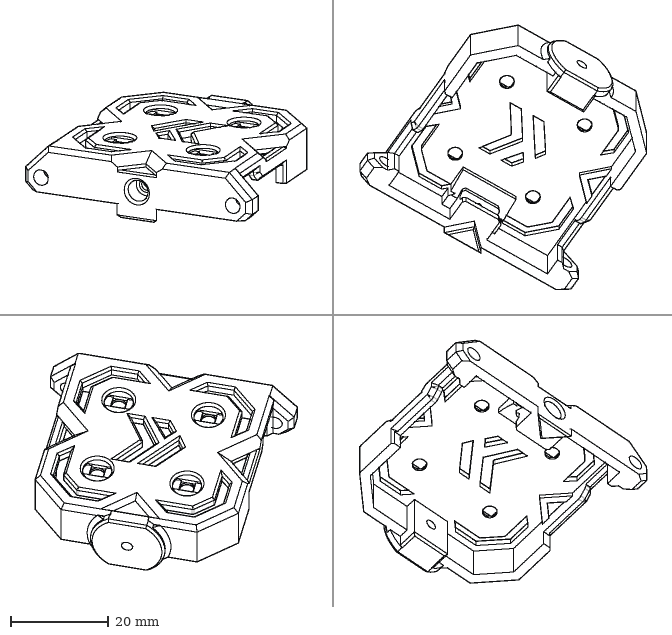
import cadquery as cq
import math

height = 10.0
plate_width = 42.95
plate_length = 44.0
rear_corner = 7.1
edge_chamfer = 1.05
wall = 2.15
step_chamfer = 0.5
plate_thickness = 2.0
underside = height - plate_thickness
half_width = plate_width / 2
half_length = plate_length / 2
past = 2.6

bar_width = 51.5
bar_depth = 5.0
ear_slope = 5.2
ear_lower_chamfer = 1.6
ear_hole_x = 21.8
ear_hole_diameter = 3.3

axis_z = 3.25
front_bore = 4.5
front_bore_mouth = 5.7
front_bore_depth = 4.55
screw_hole = 2.3
screw_hole_mouth = 3.0
boss_width = 9.0
boss_depth = 7.45
tab_drop = 3.0
tab_tip = 0.55
tab_tip_angle = 30
boss_chamfer = 0.5
gusset_width = 12.9
gusset_reach = 5.35
gusset_foot_z = 4.65
gusset_tip_z = 6.75
gusset_bow = 0.2
cross_groove = 3.0
flange_thickness = 1.85
flange_diameter = 15.75
flange_height = 13.5
flange_chamfer = 0.5
flare = 1.0
flare_top = 9.15
flat_width = 7.95
rear_block_width = 8.95
rear_block_depth = 4.55

window_chamfer = 0.5
notch_reach = 7.25
notch_slope = 2.0
notch_step = 0.7
notch_collar = 2.05
collar_depth = 1.0
side_notch_inset = 0.5
rear_notch_depth = 1.05
sill_chamfer = 0.35

screw_x = 9.5
screw_y = 9.95
seat_diameter = 7.0
seat_floor_diameter = 6.0
seat_depth = 0.6
bridge_step = 0.4
plate_hole = 3.0

CENTRED = (True, True, False)
BEVEL = 45


def prism(points, top, depth, taper=0):
    """Solid running down from a closed XY outline at height top."""
    return cq.Workplane("XY").workplane(offset=top).polyline(points).close().extrude(-depth, taper=taper)


def y_cylinder(diameter, y_start, length, x=0.0):
    """Cylinder along +Y at the height of the screw axis."""
    return (
        cq.Workplane("XZ", origin=(x, y_start, axis_z))
        .circle(diameter / 2)
        .extrude(-length)
    )


def y_cone(diameter_start, diameter_end, y_start, length):
    """Frustum along +Y on the screw axis."""
    cone = cq.Solid.makeCone(
        diameter_start / 2, diameter_end / 2, length, cq.Vector(0, y_start, axis_z), cq.Vector(0, 1, 0)
    )
    return cq.Workplane(obj=cone)


def block(width, y_min, y_max, z_min, z_max):
    """Box centred on X = 0."""
    return (
        cq.Workplane("XY", origin=(0, (y_min + y_max) / 2, z_min))
        .box(width, y_max - y_min, z_max - z_min, centered=CENTRED)
    )


def window(points):
    """Through window whose upper rim is chamfered inside the given outline."""
    rim = prism(points, height, window_chamfer, BEVEL)
    through = cq.Solid.extrudeLinear(rim.faces("<Z").val(), cq.Vector(0, 0, -height))
    return rim.union(cq.Workplane(obj=through))


def plate_block():
    """Plate with its two rear corners cut off and its upper edges chamfered."""
    body = block(plate_width, -half_length + bar_depth / 2, half_length, 0, height)
    body = body.edges("|Z and >Y").chamfer(rear_corner)
    return body.faces(">Z").edges("not <Y").chamfer(edge_chamfer)


def front_bar():
    """Bar across the front whose ends slope off to form the ears."""
    half = bar_width / 2
    bar = (
        cq.Workplane("XZ", origin=(0, -half_length, 0))
        .moveTo(-half + ear_lower_chamfer, 0)
        .lineTo(half - ear_lower_chamfer, 0)
        .lineTo(half, ear_lower_chamfer)
        .lineTo(half, height - ear_slope)
        .lineTo(half - ear_slope, height)
        .lineTo(-half + ear_slope, height)
        .lineTo(-half, height - ear_slope)
        .lineTo(-half, ear_lower_chamfer)
        .close()
        .extrude(-bar_depth)
    )
    return bar.faces("<Y or >Y").edges("not <Z").chamfer(edge_chamfer)


def cavity():
    """Hollow under the plate, following the side, front and rear walls."""
    hollow = block(plate_width - 2 * wall, -half_length + wall, half_length - wall, -past, underside)
    inner_corner = rear_corner - wall * (2 - math.sqrt(2))
    return hollow.edges("|Z and >Y").chamfer(inner_corner)


def side_opening(side):
    """Stepped opening in a side wall with a chamfer around its outer rim."""
    rear, middle, ramp_end = 4.9, -6.75, -8.05
    low, ramp_top, high = 5.05, 6.35, 7.7
    front = -half_length + bar_depth
    outline = [
        (rear, -past),
        (rear, low),
        (middle, low),
        (ramp_end, ramp_top),
        (ramp_end, high),
        (front, high),
        (front, -past),
    ]
    rim = (
        cq.Workplane("YZ", origin=(side * half_width, 0, 0))
        .polyline(outline)
        .close()
        .extrude(-side * edge_chamfer, taper=BEVEL)
    )
    inner_face = rim.faces("<X" if side > 0 else ">X").val()
    through = cq.Solid.extrudeLinear(inner_face, cq.Vector(-side * wall, 0, 0))
    step_edge = rear - step_chamfer
    step = block(2 * wall, step_edge - wall, step_edge, -past, low - edge_chamfer)
    step = step.translate((side * half_width, 0, 0))
    return rim.union(cq.Workplane(obj=through)).union(step)


def vee(apex, edge):
    """Right-angled triangle opening toward +Y, from its apex to the edge."""
    reach = edge - apex
    return [(0, apex), (reach, edge), (-reach, edge)]


def turned(solid, angle):
    """Solid turned about the Z axis."""
    return solid.rotate((0, 0, 0), (0, 0, 1), angle)


def sloped_notch(edge):
    """Sloped part of a V notch toward +Y, and the Y of its apex at the lower end."""
    apex = edge - notch_reach
    mouth = edge + 2 * past
    return prism(vee(apex, mouth), height, notch_slope, BEVEL), apex + notch_slope * math.sqrt(2)


def front_notch():
    """Sloped flanks over a short upright step, with a chamfered sill."""
    slopes, apex = sloped_notch(half_length)
    floor_z = height - notch_slope - notch_step
    reach = half_length - apex
    step = prism(vee(apex, half_length), height - notch_slope, notch_step)
    sill = (
        cq.Workplane("YZ", origin=(-reach, 0, 0))
        .moveTo(half_length, floor_z - sill_chamfer)
        .lineTo(half_length, floor_z)
        .lineTo(half_length - window_chamfer, floor_z)
        .close()
        .extrude(2 * reach)
    )
    return turned(slopes.union(step).union(sill), 180)


def side_notch():
    """Notch opening down into the cavity past a wall with a chamfered top."""
    slopes, apex = sloped_notch(half_width - side_notch_inset)
    wall_inside = half_width - wall
    reach = half_width - apex
    floor_z = height - notch_slope
    through = prism(vee(apex, wall_inside), height, height)
    above_wall = (
        cq.Workplane("YZ", origin=(-reach, 0, 0))
        .moveTo(half_width, floor_z - sill_chamfer)
        .lineTo(half_width - window_chamfer, floor_z)
        .lineTo(wall_inside + window_chamfer, floor_z)
        .lineTo(wall_inside, floor_z - sill_chamfer)
        .lineTo(wall_inside, height)
        .lineTo(half_width, height)
        .close()
        .extrude(2 * reach)
        .intersect(prism(vee(apex, half_width), floor_z, past))
    )
    return slopes.union(through).union(above_wall)


def side_collar():
    """Thickening under the plate around a side notch."""
    apex = half_width - side_notch_inset - notch_reach + notch_slope * math.sqrt(2)
    return prism(vee(apex - notch_collar, half_width - wall / 2), underside, collar_depth)


def rear_notch():
    """Shallow triangular pocket with three sloped flanks."""
    return prism(vee(half_length - notch_reach, half_length - edge_chamfer), height, rear_notch_depth, BEVEL)


def corner_windows():
    """Bent window around each plate screw, mirrored into the four corners."""
    outline = [
        (4.15, 15.9),
        (7.2, 18.9),
        (13.15, 18.9),
        (18.5, 13.6),
        (18.5, 7.55),
        (15.45, 4.7),
        (15.45, 12.55),
        (12.05, 15.9),
    ]
    right = window(outline)
    right = right.union(right.mirror("XZ"))
    return right.union(right.mirror("YZ"))


def centre_windows():
    """Three slanted windows forming a double arrow in the plate centre."""
    rear, front = 6.7, -6.65
    long_bar = [(-2.15, rear), (1.7, rear), (-5.05, -2.95), (-6.9, 0)]
    short_bar = [(-2.15, -1.35), (1.7, front), (-2.15, front), (-4.05, -3.95)]
    arrow = [(3.35, rear), (7.3, rear), (2.7, 0), (7.0, front), (3.15, front), (-1.3, 0)]
    return window(long_bar).union(window(short_bar)).union(window(arrow))


def screw_seat(x, y):
    """Conical seat stepping through a slot and a square down to a round hole."""
    cone = cq.Solid.makeCone(
        seat_floor_diameter / 2, seat_diameter / 2, seat_depth, cq.Vector(0, 0, height - seat_depth)
    )
    seat_floor = height - seat_depth
    slot = (
        cq.Workplane("XY", origin=(0, 0, seat_floor))
        .circle(seat_floor_diameter / 2)
        .extrude(-bridge_step)
        .intersect(block(seat_diameter, -plate_hole / 2, plate_hole / 2, 0, height))
    )
    square = block(plate_hole, -plate_hole / 2, plate_hole / 2, seat_floor - 2 * bridge_step, seat_floor)
    hole = cq.Workplane("XY").circle(plate_hole / 2).extrude(height)
    return cq.Workplane(obj=cone).union(slot).union(square).union(hole).translate((x, y, 0))


def front_boss():
    """Block behind the front wall with a concave gusset and a lower tab."""
    face = -half_length + boss_depth
    root = -half_length + wall / 2
    boss = block(boss_width, root, face, 0, underside)
    boss = boss.edges("|Z and >Y").chamfer(boss_chamfer)
    foot = -half_length + bar_depth
    tip = foot + gusset_reach
    gusset = (
        cq.Workplane("YZ", origin=(-gusset_width / 2, 0, 0))
        .moveTo(root, gusset_foot_z)
        .lineTo(foot, gusset_foot_z)
        .sagittaArc((tip, gusset_tip_z), gusset_bow)
        .lineTo(tip, underside)
        .lineTo(root, underside)
        .close()
        .extrude(gusset_width)
    )
    groove = (
        cq.Workplane("YZ", origin=(-bar_width / 2, face, axis_z))
        .circle(cross_groove / 2)
        .extrude(bar_width)
    )
    half_tab = boss_width / 2
    outline = [(-half_tab, -half_length), (half_tab, -half_length), (0, -half_length + half_tab)]
    tip_z = -tab_drop + tab_tip
    tab = prism(outline, wall, wall - tip_z).union(prism(outline, tip_z, tab_tip, tab_tip_angle))
    return boss.union(gusset).cut(groove).union(tab)


def rear_flange():
    """Round flange with flat top and bottom, a flared root and an inner block."""
    bottom = height - flange_height
    flats = block(bar_width, 0, bar_width, bottom, height)
    disc = y_cylinder(flange_diameter, half_length, flange_thickness).intersect(flats)
    disc = disc.faces(">Y").chamfer(flange_chamfer)
    root_band = block(bar_width, 0, bar_width, 0, flare_top)
    cone = y_cone(flange_diameter + 2 * flare, flange_diameter, half_length, flare).intersect(root_band)
    inner = block(rear_block_width, half_length - rear_block_depth, half_length, bottom, underside)
    inner = inner.faces("<Z").edges("not >Y").chamfer(flange_chamfer)
    cap = block(flat_width, half_length - edge_chamfer, half_length, underside, height)
    return disc.union(cone).union(inner).union(cap)


def lengthwise_holes():
    """Stepped screw bore on the centre axis and the two ear holes."""
    front = -half_length
    mouth_depth = (front_bore_mouth - front_bore) / 2
    neck_depth = (screw_hole_mouth - screw_hole) / 2
    bore_end = front + front_bore_depth
    cutter = y_cylinder(screw_hole, front, bar_width)
    cutter = cutter.union(y_cylinder(front_bore, front, front_bore_depth))
    cutter = cutter.union(y_cone(front_bore_mouth, front_bore, front, mouth_depth))
    cutter = cutter.union(y_cone(screw_hole_mouth, screw_hole, bore_end, neck_depth))
    for side in (-1, 1):
        cutter = cutter.union(y_cylinder(ear_hole_diameter, front, bar_depth, side * ear_hole_x))
    return cutter


body = plate_block().union(front_bar()).cut(cavity())
for side in (-1, 1):
    body = body.cut(side_opening(side))
body = body.union(front_boss())
body = body.union(rear_flange())
for angle in (90, -90):
    body = body.union(turned(side_collar(), angle))
    body = body.cut(turned(side_notch(), angle))
body = body.cut(front_notch()).cut(rear_notch())
body = body.cut(corner_windows()).cut(centre_windows())
for x in (-screw_x, screw_x):
    for y in (-screw_y, screw_y):
        body = body.cut(screw_seat(x, y))
result = body.cut(lengthwise_holes())